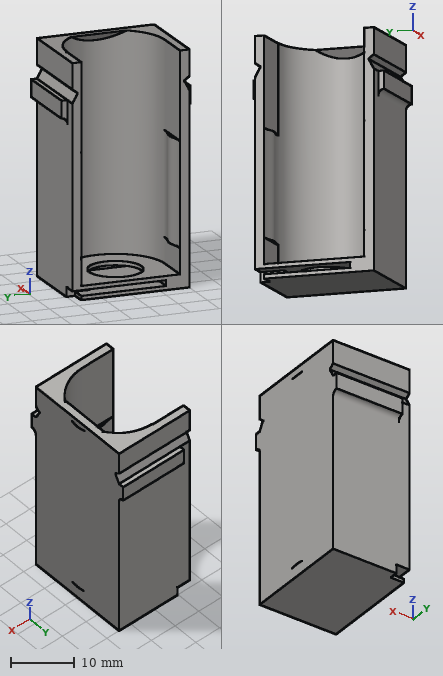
import cadquery as cq

length = 14.9
width = 20.07
height = 39.43
half_width = width / 2
overlap = 0.4

floor_top = 2.35
bore_x = 6.45
bore_radius = 8.4
left_wall_y = 8.5
rim_x = 13.4

bump_bottom = 6.7
bump_top = 24.45
bump_height = 0.47
bump_blend_length = 1.97

groove_bottom = 32.73
groove_apex_z = 34.35
groove_top = 35.0
groove_depth = 0.9
rail_start_x = 2.1
rail_depth = 1.0
rail_bottom = 28.8

opening_x = 6.55
opening_radius = 4.45

slot_bottom = 0.7
slot_top = 1.65
slot_entry_depth = 2.55
slot_half_width = 6.05
slot_corner_radius = 1.05
slot_depth = bore_x + slot_half_width


def box(x0, x1, y0, y1, z0, z1):
    """Box between the given limits."""
    return cq.Workplane("XY").box(x1 - x0, y1 - y0, z1 - z0, centered=False).translate((x0, y0, z0))


def bore():
    """Round cavity with an open front and a 45 degree overhang at the back rim."""
    depth = height - floor_top
    round_part = (
        cq.Workplane("XY", origin=(0, 0, floor_top)).center(bore_x, 0).circle(bore_radius).extrude(depth)
    )
    front_part = box(-bore_radius, bore_x, -bore_radius, left_wall_y, floor_top, height)
    overhang_reach = bore_x + bore_radius + overlap - rim_x
    overhang = (
        cq.Workplane("XZ")
        .moveTo(rim_x, height)
        .lineTo(rim_x + overhang_reach, height)
        .lineTo(rim_x + overhang_reach, height - overhang_reach)
        .close()
        .extrude(half_width, both=True)
    )
    return round_part.cut(overhang).union(front_part)


def bump_blend_middle(wall_y, blend_y):
    """Y halfway along a shallow arc leaving the wall: a quarter of its full rise."""
    return wall_y + (blend_y - wall_y) / 4


def bump(front_y, inward):
    """Smooth swelling from a side wall to the bore; inward is the Y direction into the cavity."""
    middle = bore_x / 2
    rear_y = -inward * bore_radius
    blend_y = front_y + inward * bump_height * bump_blend_length / middle
    peak_y = front_y + inward * bump_height
    back_y = front_y - inward * overlap
    front_blend = (bump_blend_length / 2, bump_blend_middle(front_y, blend_y))
    rear_blend = (bore_x - bump_blend_length / 2, bump_blend_middle(rear_y, blend_y))
    return (
        cq.Workplane("XY", origin=(0, 0, bump_bottom))
        .moveTo(0, front_y)
        .threePointArc(front_blend, (bump_blend_length, blend_y))
        .threePointArc((middle, peak_y), (bore_x - bump_blend_length, blend_y))
        .threePointArc(rear_blend, (bore_x, rear_y))
        .lineTo(bore_x, back_y)
        .lineTo(0, back_y)
        .close()
        .extrude(bump_top - bump_bottom)
    )


def groove():
    """V groove along X in the -Y face."""
    return (
        cq.Workplane("YZ")
        .moveTo(-half_width, groove_bottom)
        .lineTo(-half_width + groove_depth, groove_apex_z)
        .lineTo(-half_width, groove_top)
        .close()
        .extrude(length)
    )


def rail():
    """Rail on the -Y face with a concave quarter-round underside."""
    outer_y = -half_width - rail_depth
    rail_block = box(rail_start_x, length, outer_y, -half_width, rail_bottom, groove_bottom)
    underside = (
        cq.Workplane("YZ")
        .center(outer_y, rail_bottom)
        .circle(rail_depth)
        .extrude(length)
    )
    return rail_block.cut(underside)


def floor_slot():
    """Rounded pocket with a shallower entry that opens through the +Y corner."""
    pocket = (
        box(0, slot_depth, -slot_half_width, slot_half_width, slot_bottom, slot_top)
        .edges("|Z and >X")
        .fillet(slot_corner_radius)
    )
    entry = box(0, slot_entry_depth, 0, half_width, slot_bottom, slot_top)
    corner = box(0, slot_entry_depth, left_wall_y, half_width, 0, slot_top)
    return pocket.union(entry).union(corner)


def on_both_sides(feature):
    """The feature together with its mirror image across the XZ plane."""
    return feature.union(feature.mirror("XZ"))


floor_opening = (
    cq.Workplane("XY", origin=(opening_x, 0, slot_top))
    .circle(opening_radius)
    .extrude(floor_top - slot_top)
)

result = box(0, length, -half_width, half_width, 0, height)
result = result.cut(bore()).cut(floor_opening)
result = result.union(bump(left_wall_y, -1)).union(bump(-bore_radius, 1))
result = result.union(on_both_sides(rail())).cut(on_both_sides(groove()))
result = result.cut(floor_slot())